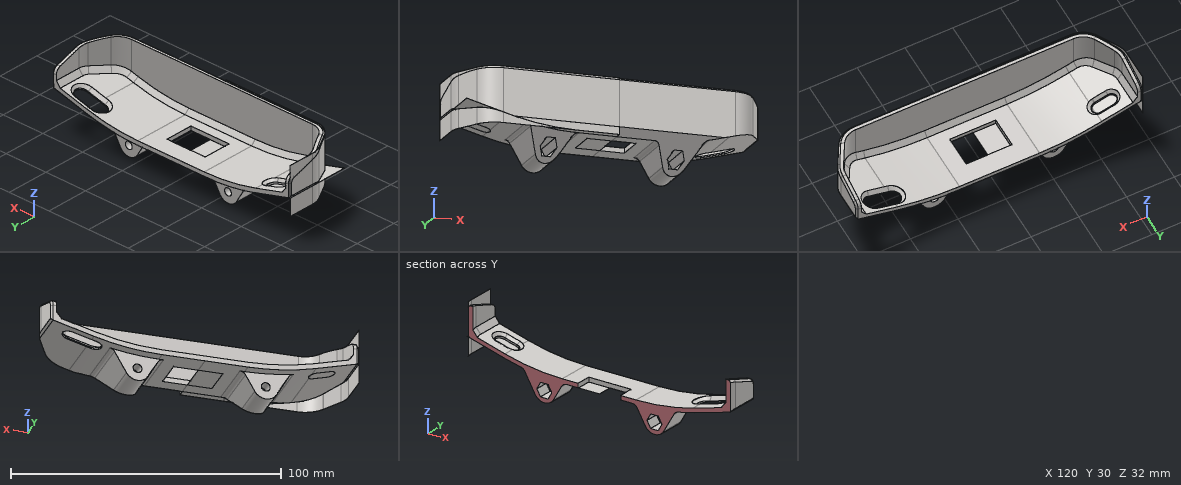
import cadquery as cq
import math

LENGTH = 120.0
DEPTH = 30.0
BODY_HEIGHT = 22.0
LUG_DROP = 10.0

HALF_LENGTH = LENGTH / 2
LUG_BOTTOM = -BODY_HEIGHT - LUG_DROP
MARGIN = 5.0

CORNER_START_Y = -DEPTH / 2
CORNER_ANGLE = math.radians(60)
CORNER_RADIUS = 10.0

WALL = 2.2
RIM_CHAMFER = 0.8
INNER_CHAMFER = 2.0
FLOOR_THICKNESS = 2.0
FLOOR_Z = -BODY_HEIGHT + FLOOR_THICKNESS
FLAT_HALF = 16.75
RISE_ANGLE = math.radians(15)
FLOOR_RADIUS = 100.5
UNDERSIDE_RADIUS = FLOOR_RADIUS + FLOOR_THICKNESS
END_BEVEL_WIDTH = 0.8
END_BEVEL_HEIGHT = 0.7

REAR_RIM_Z = -5.9
RIM_SLOPE = math.radians(18)
RIM_BLEND_RADIUS = 40.0
REAR_ROUND = 3.0

FRONT_SLOPE_HEIGHT = 3.0

LUG_X = 25.0
LUG_RADIUS = 5.0
LUG_Z = LUG_BOTTOM + LUG_RADIUS
LUG_REAR_Y = -4.0
LUG_FLANK_ANGLE = math.radians(60)
LUG_FILLET = 2.5
LUG_EMBED = 1.8
LUG_HOLE = 3.4
NUT_CORNERS = 6.6
NUT_FLOOR_Y = -9.0

WINDOW_LENGTH = 19.2
WINDOW_WIDTH = 13.0
WINDOW_Y = -14.75

RIGHT_SLOT_X = 45.5
RIGHT_SLOT_Y = -6.0
RIGHT_SLOT = (15.6, 6.2)
RIGHT_SLOT_MOUTH = (18.0, 9.2)
LEFT_SLOT_X = -47.2
LEFT_SLOT_Y = -7.0
LEFT_SLOT = (10.4, 5.0)
LEFT_SLOT_MOUTH = (13.2, 7.4)
FLARE_ANGLE = 45

SKIN = 0.02


def box(x0, x1, y0, y1, z0, z1):
    return cq.Workplane("XY").box(x1 - x0, y1 - y0, z1 - z0, centered=False).translate((x0, y0, z0))


def plan_prism(inset, z0, z1, rear=0.0):
    """Vertical prism over the plan outline, moved inwards by inset and reaching back to Y = rear."""
    half = HALF_LENGTH - inset
    front = -DEPTH + inset
    start = CORNER_START_Y + inset * math.tan((math.pi / 2 - CORNER_ANGLE) / 2)
    run = (start - front) / math.tan(CORNER_ANGLE)
    outline = [
        (-half, rear),
        (-half, start),
        (-half + run, front),
        (half - run, front),
        (half, start),
        (half, rear),
    ]
    prism = cq.Workplane("XY").polyline(outline).close().extrude(z1 - z0).translate((0, 0, z0))
    return prism.edges("|Z").edges("not >Y").fillet(CORNER_RADIUS - inset)


def bowl_points(radius, flat_z):
    """(X, Z) of the flat's end, arc middle, arc end and tip of the curve's rising right side."""
    def on_arc(angle):
        return (FLAT_HALF + radius * math.sin(angle), flat_z + radius * (1 - math.cos(angle)))

    middle = on_arc(RISE_ANGLE / 2)
    end = on_arc(RISE_ANGLE)
    tip = (HALF_LENGTH, end[1] + (HALF_LENGTH - end[0]) * math.tan(RISE_ANGLE))
    return (FLAT_HALF, flat_z), middle, end, tip


def mirrored(point):
    return (-point[0], point[1])


def above_bowl(radius, flat_z, top, y0, y1):
    """Solid between the flat, rising bowl curve and Z = top."""
    flat, middle, end, tip = bowl_points(radius, flat_z)
    profile = (
        cq.Workplane("XZ", origin=(0, y1, 0))
        .moveTo(*mirrored(flat))
        .lineTo(*flat)
        .threePointArc(middle, end)
        .lineTo(*tip)
        .lineTo(tip[0], top)
        .lineTo(-tip[0], top)
        .lineTo(*mirrored(tip))
        .lineTo(*mirrored(end))
        .threePointArc(mirrored(middle), mirrored(flat))
        .close()
    )
    return profile.extrude(y1 - y0)


def rim_volume():
    """Prism along X below the rim, which falls towards the rear and is rounded there."""
    crest_y = -REAR_RIM_Z / math.tan(RIM_SLOPE)
    prism = (
        cq.Workplane("YZ", origin=(-LENGTH, 0, 0))
        .polyline([(0, LUG_BOTTOM), (0, REAR_RIM_Z), (-crest_y, 0), (-DEPTH - MARGIN, 0),
                   (-DEPTH - MARGIN, LUG_BOTTOM)])
        .close()
        .extrude(2 * LENGTH)
    )
    prism = prism.edges(cq.selectors.NearestToPointSelector((0, 0, REAR_RIM_Z))).fillet(REAR_ROUND)
    return prism.edges(cq.selectors.NearestToPointSelector((0, -crest_y, 0))).fillet(RIM_BLEND_RADIUS)


def under_front_slope():
    """Wedge below the 45 degree slope of the front edge and the lugs."""
    reach = BODY_HEIGHT + LUG_DROP
    slope_top = -BODY_HEIGHT + FRONT_SLOPE_HEIGHT
    return (
        cq.Workplane("YZ", origin=(-LENGTH, 0, 0))
        .polyline([(-DEPTH, slope_top), (-DEPTH - MARGIN, slope_top), (-DEPTH - MARGIN, slope_top - reach),
                   (-DEPTH + reach, slope_top - reach)])
        .close()
        .extrude(2 * LENGTH)
    )


def end_bevels():
    """Wedges that bevel the lower outer corner of both ends."""
    _, _, _, tip = bowl_points(UNDERSIDE_RADIUS, -BODY_HEIGHT)
    inner_x = HALF_LENGTH - END_BEVEL_WIDTH
    inner_z = tip[1] - END_BEVEL_WIDTH * math.tan(RISE_ANGLE)
    right = (
        cq.Workplane("XZ")
        .polyline([(inner_x, inner_z), (HALF_LENGTH, inner_z), (HALF_LENGTH, tip[1] + END_BEVEL_HEIGHT)])
        .close()
        .extrude(DEPTH)
    )
    return right.union(right.mirror("YZ"))


def outer_block():
    """Solid block inside the outline with the falling rim and its chamfered outer edge."""
    block = plan_prism(0, -BODY_HEIGHT, 0).intersect(rim_volume())
    upper = cq.selectors.BoxSelector((-LENGTH, -LENGTH, -BODY_HEIGHT / 2), (LENGTH, LENGTH, MARGIN))
    rim = block.edges("not (|X or |Z)").edges(upper)
    front = block.edges(">Z and <Y")
    rear = block.edges("|Z and >Y")
    return block.newObject(rim.vals() + front.vals() + rear.vals()).chamfer(RIM_CHAMFER)


def cavity():
    """Space above the floor, chamfered where the floor meets the walls and open at the rear."""
    space = plan_prism(WALL, -BODY_HEIGHT, MARGIN, rear=MARGIN)
    space = space.intersect(above_bowl(FLOOR_RADIUS, FLOOR_Z, MARGIN, -DEPTH, MARGIN))
    end_x = HALF_LENGTH - 2 * WALL
    floor_edges = cq.selectors.BoxSelector((-LENGTH, -DEPTH, -BODY_HEIGHT), (LENGTH, MARGIN / 2, -WALL))
    mid_floor = cq.selectors.BoxSelector((-end_x, -DEPTH, -BODY_HEIGHT), (end_x, MARGIN, 0))
    bend_lines = mid_floor & cq.selectors.ParallelDirSelector(cq.Vector(0, 1, 0))
    return space.edges("not |Z").edges(floor_edges - bend_lines).chamfer(INNER_CHAMFER)


def lug(x):
    """Lug with a round tip and flanks that widen upwards into the body."""
    top_z = -BODY_HEIGHT + LUG_EMBED
    tangent_x = LUG_RADIUS * math.sin(LUG_FLANK_ANGLE)
    tangent_z = LUG_Z - LUG_RADIUS * math.cos(LUG_FLANK_ANGLE)
    top_x = tangent_x + (top_z - tangent_z) / math.tan(LUG_FLANK_ANGLE)
    return (
        cq.Workplane("XZ", origin=(x, LUG_REAR_Y, 0))
        .moveTo(-top_x, top_z)
        .lineTo(-tangent_x, tangent_z)
        .threePointArc((0, LUG_BOTTOM), (tangent_x, tangent_z))
        .lineTo(top_x, top_z)
        .close()
        .extrude(DEPTH + LUG_REAR_Y)
    )


def add_lugs(body):
    """Join both lugs to the body and round the roots of their flanks."""
    reach_x = LUG_X + 2 * LUG_RADIUS
    body = body.union(lug(-LUG_X)).union(lug(LUG_X))
    roots = cq.selectors.BoxSelector(
        (-reach_x, -DEPTH, LUG_Z), (reach_x, 2 * LUG_REAR_Y, -BODY_HEIGHT + LUG_EMBED))
    return body.edges("|Y").edges(roots).fillet(LUG_FILLET)


def lug_cutter(x):
    """Screw hole with a hexagonal nut pocket sunk from the front."""
    hole = cq.Workplane("XZ").center(x, LUG_Z).circle(LUG_HOLE / 2).extrude(DEPTH)
    pocket = (
        cq.Workplane("XZ", origin=(0, NUT_FLOOR_Y, 0))
        .center(x, LUG_Z)
        .polygon(6, NUT_CORNERS)
        .extrude(DEPTH)
    )
    return hole.union(pocket)


def slot_cutter(x, y, slot, mouth):
    """Slot square to the rising floor, with a flared mouth at the floor surface."""
    side = math.copysign(1, x)
    _, _, end, _ = bowl_points(FLOOR_RADIUS, FLOOR_Z)
    floor_z = end[1] + (abs(x) - end[0]) * math.tan(RISE_ANGLE)
    flare_depth = (mouth[1] - slot[1]) / 2
    floor_plane = cq.Workplane(cq.Plane(
        origin=(x, y, floor_z),
        xDir=(math.cos(RISE_ANGLE), 0, side * math.sin(RISE_ANGLE)),
        normal=(-side * math.sin(RISE_ANGLE), 0, math.cos(RISE_ANGLE)),
    ))
    through = floor_plane.slot2D(*slot).extrude(2 * FLOOR_THICKNESS, both=True)
    flare = floor_plane.slot2D(*mouth).extrude(-flare_depth, taper=FLARE_ANGLE)
    above = floor_plane.slot2D(*mouth).extrude(FLOOR_THICKNESS)
    return through.union(flare).union(above)


def left_skin():
    """Thin skin on the left half: the full-height outline wall and the underside sheet."""
    left = box(-HALF_LENGTH, 0, -DEPTH, 0, -BODY_HEIGHT, 0)
    wall = plan_prism(0, -BODY_HEIGHT, 0).cut(plan_prism(SKIN, -BODY_HEIGHT, 0, rear=MARGIN))
    solid = above_bowl(UNDERSIDE_RADIUS, -BODY_HEIGHT, MARGIN, -DEPTH, 0)
    sheet = solid.cut(above_bowl(UNDERSIDE_RADIUS - SKIN, -BODY_HEIGHT + SKIN, MARGIN, -DEPTH, 0))
    return wall.intersect(left), sheet.intersect(left)


def window_cutter():
    half = WINDOW_LENGTH / 2
    front = WINDOW_Y - WINDOW_WIDTH / 2
    return box(-half, half, front, front + WINDOW_WIDTH, -BODY_HEIGHT, 0)


def tray():
    """Shallow tray with its lugs, window and slots."""
    body = outer_block().intersect(above_bowl(UNDERSIDE_RADIUS, -BODY_HEIGHT, MARGIN, -DEPTH, 0))
    body = body.cut(cavity()).cut(end_bevels())
    body = add_lugs(body).cut(under_front_slope())
    for x in (-LUG_X, LUG_X):
        body = body.cut(lug_cutter(x))
    body = body.cut(window_cutter())
    body = body.cut(slot_cutter(RIGHT_SLOT_X, RIGHT_SLOT_Y, RIGHT_SLOT, RIGHT_SLOT_MOUTH))
    return body.cut(slot_cutter(LEFT_SLOT_X, LEFT_SLOT_Y, LEFT_SLOT, LEFT_SLOT_MOUTH))


skin_wall, skin_sheet = left_skin()
result = tray().union(skin_wall, clean=False).union(skin_sheet, clean=False)